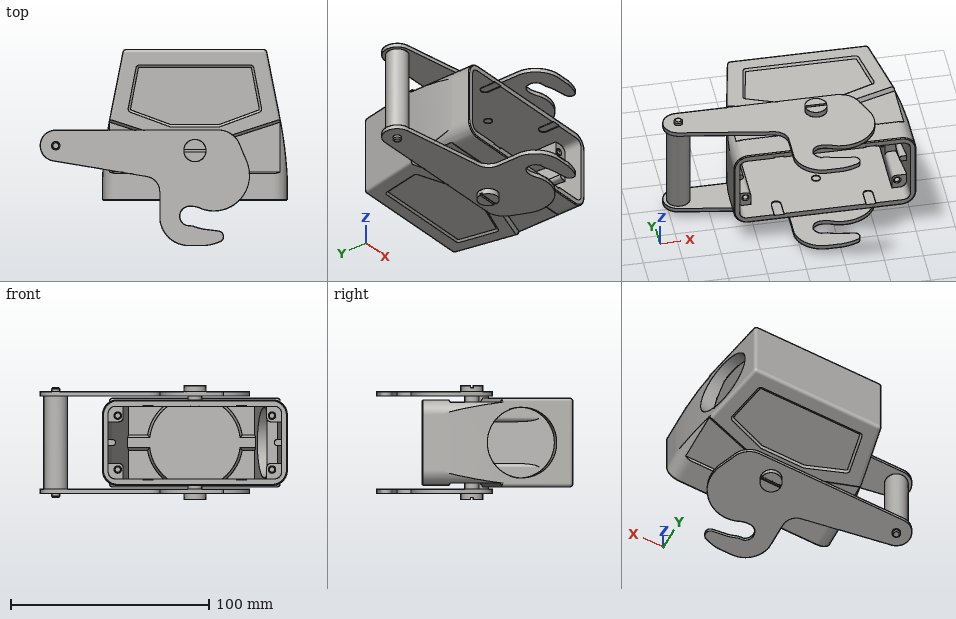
import cadquery as cq
import math


base_half_x = 46.6
base_half_z = 21.6
base_corner = 7.6
straight_depth = 11.1
waist_y = 40.8
waist_half_x = 43.0
hood_depth = 76.1
back_half_x = 36.0
box_half_z = 22.5
box_fillet = 1.7
mouth_chamfer = 0.5
side_slope = (waist_half_x - back_half_x) / (hood_depth - waist_y)
side_angle = math.atan(side_slope)

recess_floor_z = 20.5
recess_low_y = 14.2
recess_taper = 35
recess_flat_half_x = 12.0
recess_angle = 18
recess_overrun = 6.2
panel_points = [(12.2, 36.9), (33.9, 44.9), (29.4, 68.2)]
panel_corner = 1.9
panel_depth = 1.0
panel_taper = 50

chevron_slope = math.tan(math.radians(recess_angle))
chevron_side_y = waist_y - (box_half_z - recess_floor_z) * math.tan(math.radians(recess_taper))
chevron_flat_y = chevron_side_y - chevron_slope * (waist_half_x - recess_flat_half_x)

cavity_half_x = 43.8
cavity_half_z = 18.3
cavity_corner = 3.7
cavity_floor_y = 73.6
cavity_break_x = 41.8
cavity_break_y = 29.7
left_floor_x = 33.4
ledge_x = 36.3
ledge_end_y = 42.4
right_floor_x = 30.2
pad_height = 2.5
pad_radius = 24.2
pad_strip_half_z = 3.9
pad_taper = 27

post_front_y = 10.2
post_inner_x = 36.2
post_inner_z = 10.5
post_corner = 2.2
post_hole_x = 38.9
post_hole_z = 13.6
post_hole_radius = 1.4
post_hole_mouth = 0.5
post_hole_depth = 10.0
rib_tip_x = 40.0
rib_width = 3.1
mark_radius = 2.18
mark_depth = 0.4
slot_x = 23.6
slot_width = 5.0
slot_end_y = 8.1
slot_depth = 0.5

entry_radius = 17.8
entry_x = 35.2
entry_y = 49.3
entry_length = 18.7

lever_inner_z = 23.5
lever_outer_z = 25.7
lever_head_radius = 7.9
roller_x = -70.2
roller_y = 27.6
roller_radius = 6.05
pin_radius = 2.1
pin_end_z = 27.7
pin_chamfer = 0.6
arm_angle = math.radians(9.4)
arm_fillet = 7.7
hook_left_x = -17.7
hook_bottom_y = -23.0
cam_x = 9.5
cam_y = 12.6
cam_radius = 18.1
shoulder_x = 12.0
shoulder_radius = 11.3
shoulder_angle = math.radians(21)
pivot_y = 25.1
shank_radius = 3.55
screw_radius = 5.6
screw_top_z = 28.75
screw_slot_width = 1.2
screw_slot_depth = 1.0


def both_sides(half):
    """Join a shape to its mirror image below Z = 0."""
    return half.union(half.mirror("XY"))


def plate(outline, half_z):
    """Extrude an XY outline equally above and below Z = 0."""
    return outline.extrude(half_z, both=True)


def along_depth(start_y):
    """Workplane facing into the hood: local x is X, local y is -Z."""
    return cq.Workplane("XZ", origin=(0, start_y, 0)).transformed(rotate=(180, 0, 0))


def mirrored_outline(right_points):
    """Closed-outline points from its right half, listed upwards or downwards."""
    return right_points + [(-x, y) for x, y in reversed(right_points)]


def on_circle(centre_x, centre_y, radius, angle):
    """Point on a circle at the given angle from +X."""
    return (centre_x + radius * math.cos(angle), centre_y + radius * math.sin(angle))


def side_middle(sign):
    """Middle of the end curve, bowed so that it runs smoothly into the box taper."""
    rise = waist_y - straight_depth
    run = base_half_x - waist_half_x
    chord = math.hypot(rise, run)
    half_turn = side_angle - math.atan(run / rise)
    bow = chord / 2 * math.tan(half_turn / 2)
    x = (base_half_x + waist_half_x) / 2 + bow * rise / chord
    y = (straight_depth + waist_y) / 2 + bow * run / chord
    return (sign * x, y)


def make_base():
    """Rounded base whose ends curve inwards until they meet the tapered box."""
    prism = along_depth(0).rect(2 * base_half_x, 2 * base_half_z).extrude(waist_y)
    prism = prism.edges("|Y").fillet(base_corner)
    prism = prism.faces("<Y").edges().chamfer(mouth_chamfer)
    outline = (
        cq.Workplane("XY")
        .moveTo(-base_half_x, 0)
        .lineTo(base_half_x, 0)
        .lineTo(base_half_x, straight_depth)
        .threePointArc(side_middle(1), (waist_half_x, waist_y))
        .lineTo(-waist_half_x, waist_y)
        .threePointArc(side_middle(-1), (-base_half_x, straight_depth))
        .close()
    )
    return prism.intersect(plate(outline, box_half_z))


def make_box():
    """Tapered rear box with a shallow V-shaped front edge."""
    right = [
        (recess_flat_half_x, chevron_flat_y),
        (waist_half_x, chevron_side_y),
        (waist_half_x, waist_y),
        (back_half_x, hood_depth),
    ]
    box = plate(cq.Workplane("XY").polyline(mirrored_outline(right)).close(), box_half_z)
    rear = cq.selectors.BoxSelector(
        (-base_half_x, waist_y + 1.2, -base_half_x),
        (base_half_x, hood_depth + 1.2, base_half_x),
    )
    return box.edges(rear).fillet(box_fillet)


def make_lever_recess():
    """Sloped-wall cutter that clears the lever, open at both ends of the hood."""
    far_x = base_half_x + recess_overrun
    far_y = chevron_flat_y + chevron_slope * (far_x - recess_flat_half_x)
    right = [(far_x, recess_low_y), (far_x, far_y), (recess_flat_half_x, chevron_flat_y)]
    floor = cq.Workplane("XY", origin=(0, 0, recess_floor_z)).polyline(mirrored_outline(right)).close()
    return floor.extrude(box_half_z - recess_floor_z, taper=-recess_taper)


def make_panel():
    """Bevelled six-sided label recess."""
    top = cq.Workplane("XY", origin=(0, 0, box_half_z))
    outline = top.polyline(mirrored_outline(panel_points)).close()
    outline = outline.offset2D(-panel_corner).offset2D(panel_corner)
    return outline.extrude(-panel_depth, taper=panel_taper)


def make_pad():
    """Raised disc and cross strip on the cavity floor, with sloped edges."""
    floor = along_depth(cavity_floor_y).transformed(rotate=(180, 0, 0))
    disc = floor.circle(pad_radius).extrude(pad_height, taper=pad_taper)
    strip = floor.rect(2 * cavity_half_x, 2 * pad_strip_half_z).extrude(pad_height, taper=pad_taper)
    return disc.union(strip)


def make_post(side_x, side_z):
    """Square screw post filling one corner of the cavity, with a countersunk hole."""
    size_x = cavity_half_x - post_inner_x
    size_z = cavity_half_z - post_inner_z
    middle_x = post_inner_x + size_x / 2
    middle_z = post_inner_z + size_z / 2
    length = hood_depth - post_front_y
    post = cq.Workplane("XY").box(size_x, length, size_z)
    inner_face = "<X" if side_x > 0 else ">X"
    inner_edge = "<Z" if side_z > 0 else ">Z"
    post = post.faces(inner_face).edges(inner_edge).fillet(post_corner)
    post = post.translate((side_x * middle_x, post_front_y + length / 2, side_z * middle_z))
    front = along_depth(post_front_y)
    hole = front.circle(post_hole_radius).extrude(post_hole_depth)
    mouth = front.circle(post_hole_radius + post_hole_mouth).extrude(post_hole_mouth, taper=45)
    return post.cut(hole.union(mouth).translate((side_x * post_hole_x, 0, side_z * post_hole_z)))


def make_rib(side_x):
    """Round-nosed guide rib in the middle of an end wall."""
    length = cavity_half_x - rib_tip_x + rib_width / 2
    middle_x = rib_tip_x + length / 2
    rib = along_depth(post_front_y).center(side_x * middle_x, 0).slot2D(length, rib_width)
    return rib.extrude(cavity_break_y - post_front_y)


def make_cavity():
    """Everything that is hollow inside the hood; the +X wall is thickened by a ledge."""
    prism = along_depth(0).rect(2 * cavity_half_x, 2 * cavity_half_z).extrude(cavity_floor_y)
    prism = prism.edges("|Y").fillet(cavity_corner)
    outline = cq.Workplane("XY").polyline(
        [
            (-cavity_half_x, 0),
            (cavity_half_x, 0),
            (cavity_half_x, straight_depth),
            (cavity_break_x, cavity_break_y),
            (ledge_x, cavity_break_y),
            (ledge_x, ledge_end_y),
            (right_floor_x, cavity_floor_y),
            (-left_floor_x, cavity_floor_y),
            (-cavity_break_x, cavity_break_y),
            (-cavity_half_x, straight_depth),
        ]
    ).close()
    cavity = prism.intersect(plate(outline, cavity_half_z)).cut(make_pad())
    for side_x in (-1, 1):
        cavity = cavity.cut(make_rib(side_x))
        for side_z in (-1, 1):
            cavity = cavity.cut(make_post(side_x, side_z))
    return cavity


def make_wall_marks():
    """Shallow mouth slots and a round pivot mark in the cavity's upper wall."""
    wall = cq.Workplane("XY", origin=(0, 0, cavity_half_z))
    marks = wall.center(0, pivot_y).circle(mark_radius).extrude(mark_depth)
    for x in (-slot_x, slot_x):
        slot = cq.Workplane("XY", origin=(x, 0, cavity_half_z))
        slot = slot.slot2D(2 * slot_end_y + slot_width, slot_width, 90)
        marks = marks.union(slot.extrude(slot_depth))
    return marks


def make_cable_entry():
    """Round hole square to the sloping +X wall."""
    axis = (math.cos(side_angle), math.sin(side_angle), 0)
    plane = cq.Plane(origin=(entry_x, entry_y, 0), xDir=(0, 0, 1), normal=axis)
    return cq.Workplane(plane).circle(entry_radius).extrude(entry_length, both=True)


def make_lever():
    """Flat lever plate: roller eye, arm, cam lobe and hook."""
    top_y = roller_y + lever_head_radius
    eye_x = roller_x - lever_head_radius * math.sin(arm_angle)
    eye_y = roller_y - lever_head_radius * math.cos(arm_angle)

    fillet_x = hook_left_x - arm_fillet
    arm_y = eye_y - (fillet_x - eye_x) * math.tan(arm_angle)
    fillet_y = arm_y - arm_fillet / math.cos(arm_angle)
    fillet_end = math.pi / 2 - arm_angle
    fillet = (fillet_x, fillet_y, arm_fillet)

    shoulder = (shoulder_x, top_y - shoulder_radius, shoulder_radius)
    cam = (cam_x, cam_y, cam_radius)

    outline = (
        cq.Workplane("XY", origin=(0, 0, lever_inner_z))
        .moveTo(roller_x, top_y)
        .lineTo(shoulder_x, top_y)
        .threePointArc(on_circle(*shoulder, math.pi / 4), on_circle(*shoulder, shoulder_angle))
        .lineTo(*on_circle(*cam, shoulder_angle))
        .threePointArc(on_circle(*cam, -math.pi / 4), on_circle(*cam, -math.pi / 2))
        .threePointArc((6.7, -5.2), (4.0, -4.6))
        .threePointArc((0.0, -3.2), (-3.4, -3.1))
        .threePointArc((-7.6, -8.0), (-4.5, -12.6))
        .lineTo(-1.1, -13.0)
        .threePointArc((2.9, -14.2), (7.0, -14.8))
        .lineTo(11.8, -15.5)
        .threePointArc((14.5, -18.3), (13.2, -20.7))
        .threePointArc((9.1, -22.2), (4.7, hook_bottom_y))
        .lineTo(-3.1, hook_bottom_y)
        .threePointArc((-13.6, -18.5), (hook_left_x, -10.0))
        .lineTo(hook_left_x, fillet_y)
        .threePointArc(on_circle(*fillet, fillet_end / 2), on_circle(*fillet, fillet_end))
        .lineTo(eye_x, eye_y)
        .threePointArc((roller_x - lever_head_radius, roller_y), (roller_x, top_y))
        .close()
    )
    return outline.extrude(lever_outer_z - lever_inner_z)


def make_pivot_screw():
    """Shank joining the lever to the hood, with a slotted head."""
    shank = cq.Workplane("XY", origin=(0, pivot_y, recess_floor_z)).circle(shank_radius)
    shank = shank.extrude(lever_outer_z - recess_floor_z)
    head = cq.Workplane("XY", origin=(0, pivot_y, lever_outer_z)).circle(screw_radius)
    head = head.extrude(screw_top_z - lever_outer_z)
    slot = cq.Workplane("XY", origin=(0, pivot_y, screw_top_z)).rect(2 * screw_radius, screw_slot_width)
    return shank.union(head).cut(slot.extrude(-screw_slot_depth))


def make_roller():
    """Grip roller between the plates, on a pin with chamfered ends."""
    centre = cq.Workplane("XY").center(roller_x, roller_y)
    roller = plate(centre.circle(roller_radius), lever_inner_z)
    pin = cq.Workplane("XY").center(roller_x, roller_y).circle(pin_radius).extrude(pin_end_z, both=True)
    pin = pin.faces("<Z or >Z").edges().chamfer(pin_chamfer)
    return roller.union(pin)


hood = make_base().union(make_box())
hood = hood.cut(both_sides(make_lever_recess()))
hood = hood.cut(both_sides(make_panel()))
hood = hood.cut(make_cavity())
hood = hood.cut(both_sides(make_wall_marks()))
hood = hood.cut(make_cable_entry())

result = hood.union(both_sides(make_lever().union(make_pivot_screw()))).union(make_roller())